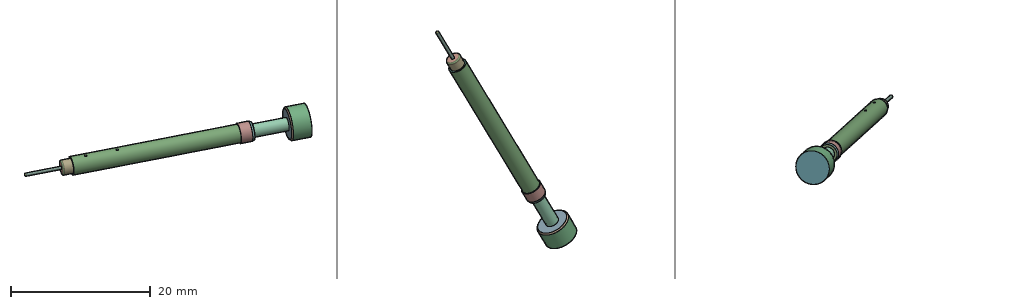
import cadquery as cq


total_length = 42.3
head_length = 3.0
collar_start = 8.2
collar_end = 10.3
barrel_end = 35.28
tail_end = 36.8

head_diameter = 5.0
plunger_diameter = 2.0
collar_diameter = 3.0
barrel_diameter = 2.75
tail_diameter = 2.25
needle_diameter = 0.5

head_chamfer = 0.2
collar_chamfer_length = 0.4
collar_chamfer_depth = 0.13
tail_fillet = 0.15
needle_fillet = 0.2

dimple_stations = (28.43, 33.1)
dimple_diameter = 0.35
dimple_depth = 0.1

def station_y(distance):
    """Y position of a point at the given distance from the head face."""
    return total_length / 2 - distance

def segment(start, end, diameter):
    """Cylinder on the Y axis between two stations."""
    return (
        cq.Workplane("XZ", origin=(0, station_y(start), 0))
        .circle(diameter / 2)
        .extrude(end - start)
    )

def dimple(distance):
    """Ball whose cap sinks into the top of the barrel by the dimple depth."""
    ball_radius = ((dimple_diameter / 2) ** 2 + dimple_depth**2) / (2 * dimple_depth)
    center_height = barrel_diameter / 2 + ball_radius - dimple_depth
    return cq.Workplane("XY").sphere(ball_radius).translate((0, station_y(distance), center_height))

head = segment(0, head_length, head_diameter).faces("<Y").chamfer(head_chamfer)
plunger = segment(head_length, collar_start, plunger_diameter)

collar_taper = cq.Workplane(
    cq.Solid.makeCone(
        collar_diameter / 2 - collar_chamfer_depth,
        collar_diameter / 2,
        collar_chamfer_length,
        pnt=cq.Vector(0, station_y(collar_start), 0),
        dir=cq.Vector(0, -1, 0),
    )
)
collar = segment(collar_start + collar_chamfer_length, collar_end, collar_diameter)

barrel = segment(collar_end, barrel_end, barrel_diameter)
for distance in dimple_stations:
    barrel = barrel.cut(dimple(distance))

tail = segment(barrel_end, tail_end, tail_diameter).faces("<Y").edges().fillet(tail_fillet)
needle = segment(tail_end, total_length, needle_diameter).faces("<Y").edges().fillet(needle_fillet)

result = head
for piece in (plunger, collar_taper, collar, barrel, tail, needle):
    result = result.union(piece)